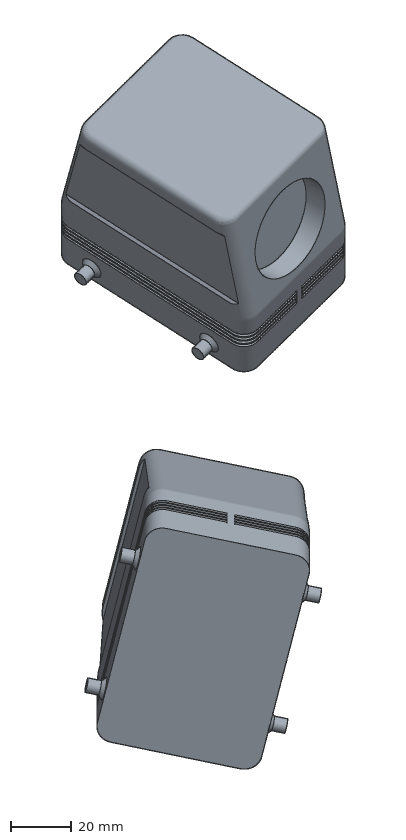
import cadquery as cq
import math

length = 82.0
width = 56.0
height = 75.0
bend_height = 28.0
top_inset = 8.85
bend_radius = 6.6
corner_radius = 6.0
top_radius = 2.95

recess_depth = 1.0
recess_bottom = 34.6
recess_top = 68.1

groove_count = 4
groove_pitch = 1.8
groove_radius = 0.6
lowest_groove = 14.1
groove_gap = 2.7

pin_spacing = 50.0
pin_height = 6.0
pin_diameter = 5.0
pin_span = 68.0
pin_base_diameter = 7.95
pin_base_length = 1.5

entry_diameter = 36.1
entry_height = 49.2
entry_depth = 8.2

overlap = 0.8

half_length = length / 2
half_width = width / 2
lean = top_inset / (height - bend_height)
lean_angle = math.atan(lean)


def make_body():
    top_half_length = half_length - top_inset
    profile = [
        (-half_length, 0),
        (half_length, 0),
        (half_length, bend_height),
        (top_half_length, height),
        (-top_half_length, height),
        (-half_length, bend_height),
    ]
    body = cq.Workplane("XZ").polyline(profile).close().extrude(half_width, both=True)
    bend_zone = cq.selectors.BoxSelector(
        (-length, -width, bend_height - overlap), (length, width, bend_height + overlap)
    )
    body = body.edges("|Y").edges(bend_zone).fillet(bend_radius)
    body = body.edges("not(|Y or |X)").fillet(corner_radius)
    return body.faces(">Z").edges().fillet(top_radius)


def make_recess(side):
    """Cutter for one broad face; side is -1 or +1 along Y."""
    face_y = side * half_width
    floor_y = side * (half_width - recess_depth)
    profile = [
        (face_y, recess_bottom),
        (floor_y, recess_bottom + recess_depth),
        (floor_y, recess_top - recess_depth),
        (face_y, recess_top),
    ]
    return cq.Workplane("YZ").polyline(profile).close().extrude(half_length, both=True)


def make_groove(z):
    """Ring cutter around the walls, interrupted in the middle of both ends."""
    footprint = cq.Workplane("XY", origin=(0, 0, z)).rect(length, width).extrude(overlap)
    path = footprint.edges("|Z").fillet(corner_radius).faces("<Z").wires()
    section = cq.Workplane("YZ", origin=(0, -half_width, z)).circle(groove_radius)
    ring = section.sweep(path)
    gap_height = 2 * (groove_radius + overlap)
    gap_length = length + gap_height
    gap = cq.Workplane("XY", origin=(0, 0, z)).box(gap_length, groove_gap, gap_height)
    return ring.cut(gap)


def make_pin(x, side):
    """Revolved pin pointing along Y; it is rooted slightly inside the wall."""
    pin_radius = pin_diameter / 2
    base_radius = pin_base_diameter / 2
    pin_length = pin_span / 2 - half_width
    profile = [
        (0, -overlap),
        (base_radius, -overlap),
        (base_radius, 0),
        (pin_radius, pin_base_length),
        (pin_radius, pin_length),
        (0, pin_length),
    ]
    plane = cq.Plane(origin=(x, side * half_width, pin_height), xDir=(1, 0, 0), normal=(0, 0, side))
    return cq.Workplane(plane).polyline(profile).close().revolve(360, (0, 0), (0, 1))


def make_cable_entry():
    outward = cq.Vector(math.cos(lean_angle), 0, math.sin(lean_angle))
    centre = cq.Vector(half_length - lean * (entry_height - bend_height), 0, entry_height)
    plane = cq.Plane(origin=centre - outward * entry_depth, xDir=(0, 1, 0), normal=outward)
    return cq.Workplane(plane).circle(entry_diameter / 2).extrude(entry_depth + overlap)


result = make_body()

for side in (-1, 1):
    result = result.cut(make_recess(side))

for index in range(groove_count):
    result = result.cut(make_groove(lowest_groove + index * groove_pitch))

for side in (-1, 1):
    for x in (-pin_spacing / 2, pin_spacing / 2):
        result = result.union(make_pin(x, side))

result = result.cut(make_cable_entry())